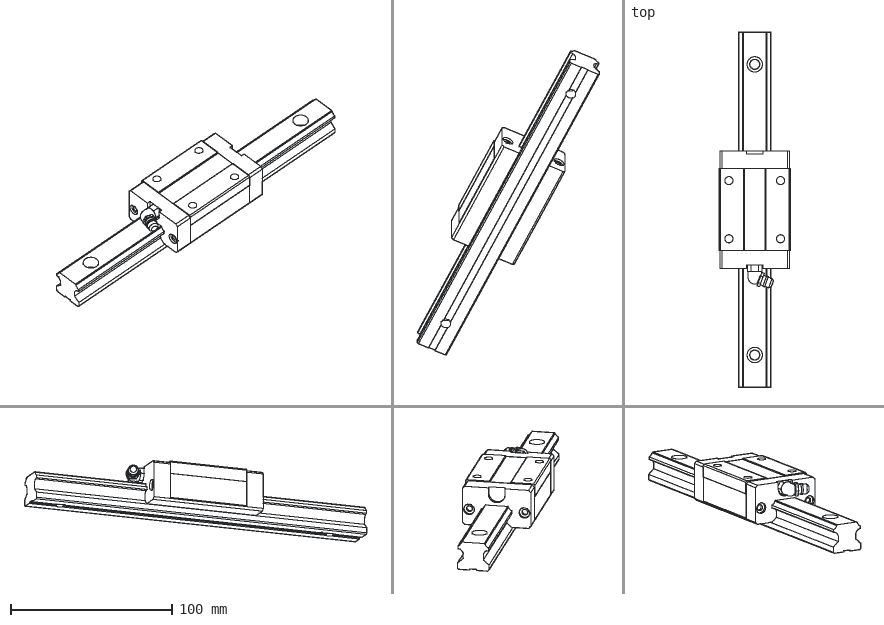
import cadquery as cq
import math

RAIL_LENGTH = 220.0
RAIL_HEIGHT = 18.0
RAIL_BASE_HALF = 10.0
RAIL_BASE_CHAMFER = 0.8
RELIEF_HALF = 2.2
RELIEF_DEPTH = 0.7
FOOT_TOP = 4.1
WAIST_HALF = 6.4
WAIST_BOTTOM = 7.2
WAIST_TOP = 10.7
LIP_ROOT_HALF = 8.2
LIP_ROOT_HEIGHT = 13.1
HEAD_HALF = 9.7
HEAD_BOTTOM = 13.5
HEAD_SIDE_TOP = 15.2
RAIL_TOP_HALF = 7.0
RAIL_TOP_CHAMFER = 0.5
UPPER_GROOVE_SAG = 0.3
LOWER_GROOVE_SAG = 0.3
RAIL_HOLE_PITCH = 180.0
RAIL_HOLE_DIAMETER = 6.0
RAIL_COUNTERBORE_DIAMETER = 9.5
RAIL_COUNTERBORE_DEPTH = 8.5

CARRIAGE_LENGTH = 72.9
BLOCK_LENGTH = 50.8
CARRIAGE_BOTTOM = 4.4
BLOCK_TOP = 30.0
BLOCK_HALF = 22.0
BLOCK_LOWER_HALF = 21.8
BLOCK_STEP_HEIGHT = 21.8
BLOCK_TOP_CHAMFER = 0.9
BLOCK_BOTTOM_CHAMFER = 2.0
CHANNEL_HALF = 6.6
CHANNEL_DEPTH = 0.5
CHANNEL_SIDE_RUN = 0.5
CAP_TOP = 29.35
CAP_HALF = 21.6
CAP_TOP_CHAMFER = 1.4
CAP_BOTTOM_CHAMFER = 1.4
MOUNT_PITCH_X = 32.0
MOUNT_PITCH_Y = 36.0
MOUNT_HOLE_DIAMETER = 5.0
MOUNT_HOLE_DEPTH = 6.0
NOTCH_RADIUS = 5.2
NOTCH_DEPTH = 2.1
CAP_SCREW_HALF_PITCH = 17.5
CAP_SCREW_HEIGHT = 14.4
CAP_SCREW_RECESS_DIAMETER = 6.6
CAP_SCREW_RECESS_DEPTH = 1.5
CAP_SCREW_SOCKET_DIAMETER = 3.6
CAP_SCREW_SOCKET_DEPTH = 1.5

NIPPLE_HEIGHT = 25.2
STEM_HEX_FLATS = 8.0
STEM_HEX_LENGTH = 4.0
STEM_LENGTH = 7.6
ELBOW_RADIUS = 4.1
OUTLET_ANGLE = 20.0
OUTLET_HEX_FLATS = 7.6
OUTLET_HEX_START = 3.1
OUTLET_HEX_END = 4.7
OUTLET_NECK_RADIUS = 3.1
OUTLET_NECK_END = 6.6
OUTLET_RING_RADIUS = 3.5
OUTLET_RING_END = 7.7
OUTLET_TIP_START = 10.3
OUTLET_TIP_RADIUS = 2.0
OUTLET_LENGTH = 11.7


def arc_middle(start, end, sag):
    """Middle point of an arc from start to end, bulging sag to the left of the chord."""
    run_x = end[0] - start[0]
    run_z = end[1] - start[1]
    chord = math.hypot(run_x, run_z)
    middle_x = (start[0] + end[0]) / 2 - sag * run_z / chord
    middle_z = (start[1] + end[1]) / 2 + sag * run_x / chord
    return middle_x, middle_z


def extrude_along_y(profile, length):
    """Extrude a closed XZ profile symmetrically about Y = 0."""
    return profile.extrude(length).translate((0, length / 2, 0)).clean()


def rail_bar(length):
    """Rail section without screw holes, also used to cut the carriage's passage."""
    waist_top = (WAIST_HALF, WAIST_TOP)
    lip_root = (LIP_ROOT_HALF, LIP_ROOT_HEIGHT)
    head_side_top = (HEAD_HALF, HEAD_SIDE_TOP)
    groove_top = (RAIL_TOP_HALF + RAIL_TOP_CHAMFER, RAIL_HEIGHT - RAIL_TOP_CHAMFER)
    half = (
        cq.Workplane("XZ")
        .moveTo(0, RELIEF_DEPTH)
        .lineTo(RELIEF_HALF, RELIEF_DEPTH)
        .lineTo(RELIEF_HALF, 0)
        .lineTo(RAIL_BASE_HALF - RAIL_BASE_CHAMFER, 0)
        .lineTo(RAIL_BASE_HALF, RAIL_BASE_CHAMFER)
        .lineTo(RAIL_BASE_HALF, FOOT_TOP)
        .lineTo(WAIST_HALF, WAIST_BOTTOM)
        .lineTo(*waist_top)
        .threePointArc(arc_middle(waist_top, lip_root, LOWER_GROOVE_SAG), lip_root)
        .lineTo(HEAD_HALF, HEAD_BOTTOM)
        .lineTo(*head_side_top)
        .threePointArc(arc_middle(head_side_top, groove_top, UPPER_GROOVE_SAG), groove_top)
        .lineTo(RAIL_TOP_HALF, RAIL_HEIGHT)
        .lineTo(0, RAIL_HEIGHT)
        .mirrorY()
    )
    return extrude_along_y(half, length)


def make_rail():
    return (
        rail_bar(RAIL_LENGTH)
        .faces(">Z")
        .workplane(origin=(0, 0, RAIL_HEIGHT))
        .pushPoints([(0, -RAIL_HOLE_PITCH / 2), (0, RAIL_HOLE_PITCH / 2)])
        .cboreHole(RAIL_HOLE_DIAMETER, RAIL_COUNTERBORE_DIAMETER, RAIL_COUNTERBORE_DEPTH)
    )


def carriage_block():
    """Middle block with a stepped side and a shallow channel along its top."""
    channel_floor = BLOCK_TOP - CHANNEL_DEPTH
    half = (
        cq.Workplane("XZ")
        .moveTo(0, CARRIAGE_BOTTOM)
        .lineTo(BLOCK_LOWER_HALF - BLOCK_BOTTOM_CHAMFER, CARRIAGE_BOTTOM)
        .lineTo(BLOCK_LOWER_HALF, CARRIAGE_BOTTOM + BLOCK_BOTTOM_CHAMFER)
        .lineTo(BLOCK_LOWER_HALF, BLOCK_STEP_HEIGHT)
        .lineTo(BLOCK_HALF, BLOCK_STEP_HEIGHT)
        .lineTo(BLOCK_HALF, BLOCK_TOP - BLOCK_TOP_CHAMFER)
        .lineTo(BLOCK_HALF - BLOCK_TOP_CHAMFER, BLOCK_TOP)
        .lineTo(CHANNEL_HALF + CHANNEL_SIDE_RUN / 2, BLOCK_TOP)
        .lineTo(CHANNEL_HALF - CHANNEL_SIDE_RUN / 2, channel_floor)
        .lineTo(0, channel_floor)
        .mirrorY()
    )
    return extrude_along_y(half, BLOCK_LENGTH)


def cap_bar():
    """End cap section over the full carriage length; the block covers its middle."""
    half = (
        cq.Workplane("XZ")
        .moveTo(0, CARRIAGE_BOTTOM)
        .lineTo(CAP_HALF - CAP_BOTTOM_CHAMFER, CARRIAGE_BOTTOM)
        .lineTo(CAP_HALF, CARRIAGE_BOTTOM + CAP_BOTTOM_CHAMFER)
        .lineTo(CAP_HALF, CAP_TOP - CAP_TOP_CHAMFER)
        .lineTo(CAP_HALF - CAP_TOP_CHAMFER, CAP_TOP)
        .lineTo(0, CAP_TOP)
        .mirrorY()
    )
    return extrude_along_y(half, CARRIAGE_LENGTH)


def mounting_holes():
    return (
        cq.Workplane("XY", origin=(0, 0, BLOCK_TOP))
        .rarray(MOUNT_PITCH_X, MOUNT_PITCH_Y, 2, 2)
        .circle(MOUNT_HOLE_DIAMETER / 2)
        .extrude(-MOUNT_HOLE_DEPTH)
    )


def front_cap_cuts():
    """Nipple notch and screw recesses cut into the -Y end cap."""
    face = cq.Workplane("XZ", origin=(0, -CARRIAGE_LENGTH / 2, 0))
    notch_round = face.center(0, NIPPLE_HEIGHT).circle(NOTCH_RADIUS).extrude(-NOTCH_DEPTH)
    notch_height = BLOCK_TOP - NIPPLE_HEIGHT
    notch_mouth = (
        face.center(0, NIPPLE_HEIGHT + notch_height / 2)
        .rect(2 * NOTCH_RADIUS, notch_height)
        .extrude(-NOTCH_DEPTH)
    )
    screws = face.pushPoints(
        [(side * CAP_SCREW_HALF_PITCH, CAP_SCREW_HEIGHT) for side in (-1, 1)]
    )
    recesses = screws.circle(CAP_SCREW_RECESS_DIAMETER / 2).extrude(-CAP_SCREW_RECESS_DEPTH)
    sockets = screws.circle(CAP_SCREW_SOCKET_DIAMETER / 2).extrude(
        -CAP_SCREW_RECESS_DEPTH - CAP_SCREW_SOCKET_DEPTH
    )
    return notch_round.union(notch_mouth).union(recesses).union(sockets)


def make_carriage():
    cap_cuts = front_cap_cuts()
    return (
        carriage_block()
        .union(cap_bar())
        .cut(rail_bar(RAIL_LENGTH))
        .cut(mounting_holes())
        .cut(cap_cuts)
        .cut(cap_cuts.mirror("XZ"))
    )


def hex_prism(plane, flats, start, end):
    """Hexagonal prism between two distances along the plane's normal."""
    across_corners = 2 * flats / math.sqrt(3)
    return (
        cq.Workplane(plane)
        .workplane(offset=start)
        .polygon(6, across_corners)
        .extrude(end - start)
    )


def make_nipple():
    """Elbow nipple: stem along -Y, ball elbow, and an outlet turned toward +X."""
    stem_plane = cq.Plane(
        origin=(0, -CARRIAGE_LENGTH / 2 + NOTCH_DEPTH, NIPPLE_HEIGHT),
        xDir=(1, 0, 0),
        normal=(0, -1, 0),
    )
    elbow_centre = stem_plane.toWorldCoords((0, 0, STEM_LENGTH))
    stem_hex = hex_prism(stem_plane, STEM_HEX_FLATS, 0, STEM_HEX_LENGTH)
    stem = (
        cq.Workplane(stem_plane)
        .workplane(offset=STEM_HEX_LENGTH)
        .circle(ELBOW_RADIUS)
        .extrude(STEM_LENGTH - STEM_HEX_LENGTH)
    )
    elbow = cq.Workplane("XY").sphere(ELBOW_RADIUS).translate(elbow_centre)

    angle = math.radians(OUTLET_ANGLE)
    outlet_plane = cq.Plane(
        origin=elbow_centre,
        xDir=(math.sin(angle), math.cos(angle), 0),
        normal=(math.cos(angle), -math.sin(angle), 0),
    )
    outlet_hex = hex_prism(outlet_plane, OUTLET_HEX_FLATS, OUTLET_HEX_START, OUTLET_HEX_END)
    outlet = (
        cq.Workplane(outlet_plane)
        .circle(OUTLET_NECK_RADIUS)
        .extrude(OUTLET_TIP_START)
        .faces(cq.selectors.DirectionMinMaxSelector(outlet_plane.zDir))
        .workplane()
        .circle(OUTLET_NECK_RADIUS)
        .workplane(offset=OUTLET_LENGTH - OUTLET_TIP_START)
        .circle(OUTLET_TIP_RADIUS)
        .loft()
    )
    ring = (
        cq.Workplane(outlet_plane)
        .workplane(offset=OUTLET_NECK_END)
        .circle(OUTLET_RING_RADIUS)
        .extrude(OUTLET_RING_END - OUTLET_NECK_END)
    )
    return stem_hex.union(stem).union(elbow).union(outlet_hex).union(outlet).union(ring)


rail = make_rail()
carriage = make_carriage()
nipple = make_nipple()

result = cq.Compound.makeCompound([rail.val(), carriage.val(), nipple.val()])